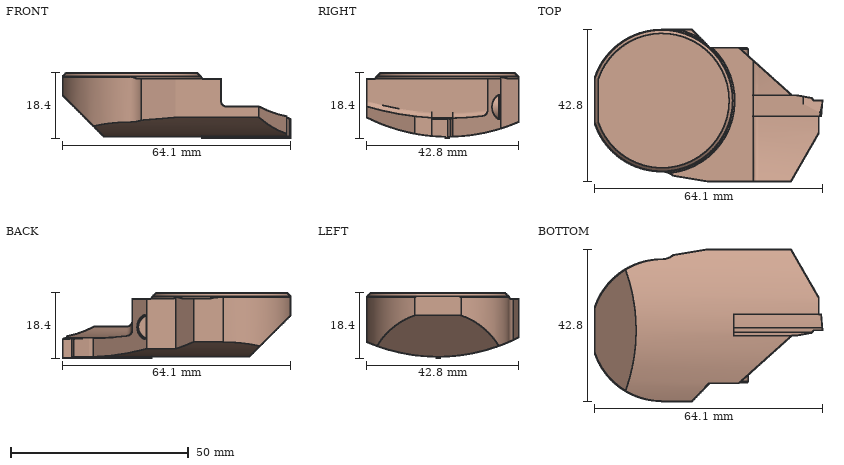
import cadquery as cq
import math

disc_radius = 20.0
flat_x = -18.9
rim_chamfer = 0.95
rim_bevel_width = 0.1
rim_bevel_height = 0.3
foot_radius = 20.5
foot_top_z = -1.15

plate_top_z = -1.7
tab_y = 20.05
tab_corner_x = 8.4
back_y = 14.95
back_start_x = 13.4
back_end_x = 21.6
front_y = -22.75
front_start_x = 12.8
front_end_x = 36.3
blend_end_x = 3.2
blend_end_y = -21.15
nose_x = 44.1
nose_corner_y = -9.15
diagonal_end_x = 36.55

underside_radius = 50.0
underside_z = -18.0
flat_bottom_z = -6.35
step_x = 25.65
floor_radius = 80.0
floor_z = -12.75
step_fillet = 1.5

boss_radius = 3.85
boss_right_x = 24.3
boss_z = -9.6
boss_end_y = 14.8
boss_root_y = 6.4
boss_chamfer = 0.4

blade_start_x = 20.2
blade_front_y = -4.4
blade_back_y = 1.55
keel_z = -18.35
keel_front_y = -0.65
keel_back_y = 0.5
blade_end_x = 44.8
tip_x = 45.2
tip_y = 0.05
relief_start_x = 37.8
relief_end_x = 42.1
relief_end_y = 0.8
tip_start_x = 42.7
end_chamfer = 0.4
rake_start = (39.75, -0.9)
rake_end = (44.35, -3.35)
rake_angle = 8.0

clearance = 6.4


def arc_z(lowest_z, radius, y):
    """Height at y of an arc along X whose lowest point is at y = 0."""
    return lowest_z + radius - math.sqrt(radius**2 - y**2)


def underside_point(y):
    return (y, arc_z(underside_z, underside_radius, y))


blade_top_z = arc_z(floor_z, floor_radius, blade_front_y)


def trough(lowest_z, radius, start_x):
    """Everything above a cylindrical surface that runs along X, from start_x onwards."""
    half_width = disc_radius + clearance
    edge_z = arc_z(lowest_z, radius, half_width)
    return (
        cq.Workplane("YZ", origin=(start_x, 0, 0))
        .moveTo(-half_width, clearance)
        .lineTo(-half_width, edge_z)
        .threePointArc((0, lowest_z), (half_width, edge_z))
        .lineTo(half_width, clearance)
        .close()
        .extrude(tip_x + clearance - start_x)
    )


def make_disc():
    shoulder = disc_radius - rim_bevel_width
    bevel_z = -rim_chamfer - rim_bevel_height
    profile = [
        (0, 0),
        (shoulder - rim_chamfer, 0),
        (shoulder, -rim_chamfer),
        (disc_radius, bevel_z),
        (disc_radius, keel_z),
        (0, keel_z),
    ]
    return cq.Workplane("XZ").polyline(profile).close().revolve(360, (0, 0), (0, 1))


def make_plate():
    drop = -disc_radius - blend_end_y
    blend_radius = (blend_end_x**2 + drop**2) / (2 * drop)
    half_angle = math.asin(blend_end_x / blend_radius) / 2
    blend_mid = (
        blend_radius * math.sin(half_angle),
        -disc_radius - blend_radius * (1 - math.cos(half_angle)),
    )
    return (
        cq.Workplane("XY", origin=(0, 0, plate_top_z))
        .moveTo(0, -disc_radius)
        .threePointArc(blend_mid, (blend_end_x, blend_end_y))
        .lineTo(front_start_x, front_y)
        .lineTo(front_end_x, front_y)
        .lineTo(nose_x, nose_corner_y)
        .lineTo(nose_x, blade_back_y)
        .lineTo(diagonal_end_x, blade_back_y)
        .lineTo(back_end_x, back_y)
        .lineTo(back_start_x, back_y)
        .lineTo(tab_corner_x, tab_y)
        .lineTo(0, tab_y)
        .close()
        .extrude(keel_z - plate_top_z)
    )


def make_foot(plate):
    """Conical foot between the disc and the plate, kept only above the plate."""
    height = foot_top_z - plate_top_z
    cone = cq.Workplane(cq.Solid.makeCone(
        foot_radius, disc_radius, height, cq.Vector(0, 0, plate_top_z)))
    return cone.intersect(plate.translate((0, 0, height)))


def make_boss():
    length = boss_end_y - boss_root_y
    return (
        cq.Workplane("XZ", origin=(boss_right_x - boss_radius, boss_root_y, boss_z))
        .circle(boss_radius)
        .extrude(-length)
        .faces(">Y")
        .chamfer(boss_chamfer)
    )


def make_side_cut():
    """Flat side of the disc with its top chamfer and the 45 degree slope below it."""
    outer_x = flat_x - clearance
    slope_run = flat_bottom_z - keel_z
    profile = [
        (outer_x, 0),
        (flat_x + rim_chamfer, 0),
        (flat_x, -rim_chamfer),
        (flat_x, flat_bottom_z),
        (flat_x + slope_run, keel_z),
        (outer_x, keel_z),
    ]
    width = 2 * (disc_radius + clearance)
    return cq.Workplane("XZ").polyline(profile).close().extrude(width / 2, both=True)


def make_blade_pocket():
    """Slot for the blade, also open upwards where the step uncovers the blade."""
    bottom_z = keel_z - clearance
    end_x = tip_x + clearance
    profile = [
        (blade_start_x, bottom_z),
        (end_x, bottom_z),
        (end_x, plate_top_z),
        (step_x, plate_top_z),
        (step_x, blade_top_z),
        (blade_start_x, blade_top_z),
    ]
    return (
        cq.Workplane("XZ", origin=(0, blade_front_y, 0))
        .polyline(profile)
        .close()
        .extrude(blade_front_y - blade_back_y)
    )


def make_head():
    plate = make_plate()
    step = trough(floor_z, floor_radius, step_x)
    step = step.faces("<X").edges("<Z").fillet(step_fillet)
    head = make_disc().union(plate).union(make_foot(plate)).union(make_boss())
    head = head.intersect(trough(underside_z, underside_radius, flat_x - clearance))
    return head.cut(make_side_cut()).cut(step).cut(make_blade_pocket())


def make_rake_cut():
    """Wedge that sinks the rake face away from its slanted front edge."""
    end_x = tip_x + clearance
    outline = [
        rake_start,
        rake_end,
        (end_x, rake_end[1]),
        (end_x, blade_back_y + clearance),
        (rake_start[0], blade_back_y + clearance),
    ]
    wedge = (
        cq.Workplane("XY", origin=(0, 0, blade_top_z))
        .polyline(outline)
        .close()
        .extrude(clearance)
    )
    return wedge.rotate((*rake_start, blade_top_z), (*rake_end, blade_top_z), -rake_angle)


def make_blade():
    outline = [
        (blade_start_x, blade_front_y),
        (blade_end_x, blade_front_y),
        (tip_x, tip_y),
        (tip_start_x, tip_y),
        (relief_end_x, relief_end_y),
        (relief_start_x, blade_back_y),
        (blade_start_x, blade_back_y),
    ]
    bar = (
        cq.Workplane("YZ", origin=(blade_start_x, 0, 0))
        .moveTo(blade_front_y, blade_top_z)
        .lineTo(*underside_point(blade_front_y))
        .threePointArc(
            underside_point((blade_front_y + keel_front_y) / 2),
            underside_point(keel_front_y),
        )
        .lineTo(keel_front_y, keel_z)
        .lineTo(keel_back_y, keel_z)
        .lineTo(*underside_point(keel_back_y))
        .threePointArc(
            underside_point((keel_back_y + blade_back_y) / 2),
            underside_point(blade_back_y),
        )
        .lineTo(blade_back_y, blade_top_z)
        .close()
        .extrude(tip_x - blade_start_x)
    )
    plan = (
        cq.Workplane("XY", origin=(0, 0, keel_z))
        .polyline(outline)
        .close()
        .extrude(blade_top_z - keel_z)
    )
    plan = plan.faces(">Z").edges(">X").chamfer(end_chamfer)
    return bar.intersect(plan).cut(make_rake_cut())


head = make_head()
blade = make_blade()
result = cq.Compound.makeCompound([head.val(), blade.val()])